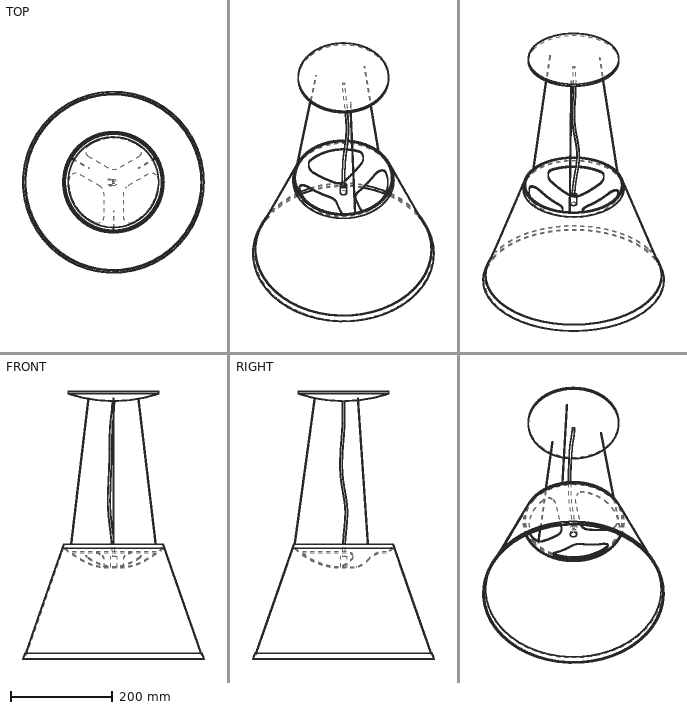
import cadquery as cq
import math

TOTAL_HEIGHT = 529.0
BASE_RADIUS = 358.27 / 2

SHADE_TOP_Z = 227.0
SHADE_TOP_RADIUS = 98.4
SHADE_FOOT_RADIUS = 173.3
SHADE_WALL = 1.2
FOOT_HEIGHT = 12.0
SHADE_SLOPE = (SHADE_FOOT_RADIUS - SHADE_TOP_RADIUS) / (SHADE_TOP_Z - FOOT_HEIGHT)
FOOT_LEDGE_RADIUS = BASE_RADIUS - SHADE_SLOPE * FOOT_HEIGHT

CANOPY_RADIUS = 89.5
CANOPY_EDGE = 5.0
CANOPY_DEPTH = 19.5

RIM_RADIUS = 95.0
RIM_HEIGHT = 8.0
RIM_BLEND = 15.0
BOWL_WALL = 2.0
FLOOR_RADIUS = 21.0
FLOOR_Z = 182.5

ARM_COUNT = 3
FIRST_ARM_ANGLE = 30.0
ARM_HALF_WIDTH = 19.5
OPENING_OUTER_RADIUS = 88.0
OPENING_INNER_FILLET = 20.0
OPENING_OUTER_FILLET = 13.0

GRIP_RADIUS = 6.3
GRIP_HEIGHT = 21.0

CABLE_RADIUS = 0.75
CABLE_TOP_RADIUS = 56.8
CABLE_RIM_RADIUS = 96.4
CABLE_TOP_Z = 516.0
CABLE_SINK = 4.0

CORD_RADIUS = 2.5
CORD_SINK = 4.0
CORD_BENDS = [
    (-4.5, 3.5, 257.0),
    (-8.3, 5.5, 294.0),
    (-7.5, -3.0, 355.0),
    (-6.0, -4.5, 395.0),
    (-4.0, 0.0, 465.0),
]


def shade_inner_radius(z):
    return SHADE_TOP_RADIUS - SHADE_WALL + SHADE_SLOPE * (SHADE_TOP_Z - z)


def make_shade():
    profile = [
        (shade_inner_radius(0), 0),
        (BASE_RADIUS, 0),
        (FOOT_LEDGE_RADIUS, FOOT_HEIGHT),
        (SHADE_FOOT_RADIUS, FOOT_HEIGHT),
        (SHADE_TOP_RADIUS, SHADE_TOP_Z),
        (shade_inner_radius(SHADE_TOP_Z), SHADE_TOP_Z),
    ]
    section = cq.Workplane("XZ").polyline(profile).close()
    return section.revolve(360, (0, 0, 0), (0, 1, 0))


def make_canopy():
    edge_z = TOTAL_HEIGHT - CANOPY_EDGE
    sag = CANOPY_DEPTH - CANOPY_EDGE
    dome_radius = (CANOPY_RADIUS**2 + sag**2) / (2 * sag)
    half_angle = math.asin(CANOPY_RADIUS / dome_radius) / 2
    bottom_z = TOTAL_HEIGHT - CANOPY_DEPTH
    arc_middle = (dome_radius * math.sin(half_angle), bottom_z + dome_radius * (1 - math.cos(half_angle)))
    section = (
        cq.Workplane("XZ")
        .moveTo(0, TOTAL_HEIGHT)
        .lineTo(CANOPY_RADIUS, TOTAL_HEIGHT)
        .lineTo(CANOPY_RADIUS, edge_z)
        .threePointArc(arc_middle, (0, bottom_z))
        .close()
    )
    return section.revolve(360, (0, 0, 0), (0, 1, 0))


def make_openings():
    """Rounded three-sided prisms that fill the gaps between the bowl's arms."""
    step = 360 / ARM_COUNT
    half_gap = math.radians(step / 2)
    apex = ARM_HALF_WIDTH / math.sin(half_gap)
    side_angle = half_gap - math.asin(ARM_HALF_WIDTH / OPENING_OUTER_RADIUS)
    corner_x = OPENING_OUTER_RADIUS * math.cos(side_angle)
    corner_y = OPENING_OUTER_RADIUS * math.sin(side_angle)
    opening = (
        cq.Workplane("XY")
        .moveTo(apex, 0)
        .lineTo(corner_x, -corner_y)
        .threePointArc((OPENING_OUTER_RADIUS, 0), (corner_x, corner_y))
        .close()
        .extrude(SHADE_TOP_Z)
    )
    opening = opening.edges("|Z and <X").fillet(OPENING_INNER_FILLET)
    opening = opening.edges("|Z and (<Y or >Y)").fillet(OPENING_OUTER_FILLET)
    first_angle = FIRST_ARM_ANGLE + step / 2
    return [opening.rotate((0, 0, 0), (0, 0, 1), first_angle + i * step) for i in range(ARM_COUNT)]


def make_bowl():
    rim_bottom_z = SHADE_TOP_Z - RIM_HEIGHT
    rise = rim_bottom_z - FLOOR_Z
    center_z = (RIM_RADIUS**2 - FLOOR_RADIUS**2 + rim_bottom_z**2 - FLOOR_Z**2) / (2 * rise)
    inner_radius = math.hypot(RIM_RADIUS, center_z - rim_bottom_z)
    outer_radius = inner_radius + BOWL_WALL

    def sphere_point(radius, r):
        return (r, center_z - math.sqrt(radius**2 - r**2))

    middle_r = (FLOOR_RADIUS + RIM_RADIUS) / 2
    rim_outer_r = math.sqrt(outer_radius**2 - (center_z - rim_bottom_z) ** 2)
    floor_bottom_z = sphere_point(outer_radius, FLOOR_RADIUS)[1]
    section = (
        cq.Workplane("XZ")
        .moveTo(0, FLOOR_Z)
        .lineTo(FLOOR_RADIUS, FLOOR_Z)
        .threePointArc(sphere_point(inner_radius, middle_r), (RIM_RADIUS, rim_bottom_z))
        .lineTo(RIM_RADIUS, SHADE_TOP_Z)
        .lineTo(shade_inner_radius(SHADE_TOP_Z), SHADE_TOP_Z)
        .lineTo(shade_inner_radius(rim_bottom_z), rim_bottom_z)
        .lineTo(rim_outer_r, rim_bottom_z)
        .threePointArc(sphere_point(outer_radius, middle_r), (FLOOR_RADIUS, floor_bottom_z))
        .lineTo(0, floor_bottom_z)
        .close()
    )
    bowl = section.revolve(360, (0, 0, 0), (0, 1, 0))
    rim_foot_band = cq.selectors.BoxSelector(
        (-BASE_RADIUS, -BASE_RADIUS, rim_bottom_z - BOWL_WALL / 2),
        (BASE_RADIUS, BASE_RADIUS, rim_bottom_z + BOWL_WALL / 2),
        boundingbox=True,
    )
    rim_foot = bowl.edges(rim_foot_band).edges(cq.selectors.RadiusNthSelector(0))
    bowl = bowl.newObject(rim_foot.vals()).fillet(RIM_BLEND)
    for opening in make_openings():
        bowl = bowl.cut(opening)
    return bowl


def make_grip():
    return cq.Workplane("XY").workplane(offset=FLOOR_Z).circle(GRIP_RADIUS).extrude(GRIP_HEIGHT)


def make_cable(angle):
    slope = (CABLE_RIM_RADIUS - CABLE_TOP_RADIUS) / (CABLE_TOP_Z - SHADE_TOP_Z)
    top = cq.Vector(CABLE_TOP_RADIUS, 0, CABLE_TOP_Z)
    bottom = cq.Vector(CABLE_RIM_RADIUS + slope * CABLE_SINK, 0, SHADE_TOP_Z - CABLE_SINK)
    run = bottom - top
    cable = cq.Solid.makeCylinder(CABLE_RADIUS, run.Length, top, run)
    return cq.Workplane(cable).rotate((0, 0, 0), (0, 0, 1), angle)


def make_cord():
    start = (0, 0, FLOOR_Z + GRIP_HEIGHT - CORD_SINK)
    end = (0, 0, TOTAL_HEIGHT - CANOPY_DEPTH + CORD_SINK)
    path = cq.Workplane("XY").spline([start, *CORD_BENDS, end], tangents=[(0, 0, 1), (0, 0, 1)])
    return cq.Workplane("XY", origin=start).circle(CORD_RADIUS).sweep(path)


def make_suspension():
    suspension = make_bowl().union(make_grip()).union(make_cord()).union(make_canopy())
    for i in range(ARM_COUNT):
        suspension = suspension.union(make_cable(FIRST_ARM_ANGLE + i * 360 / ARM_COUNT))
    return suspension


shade = make_shade()
suspension = make_suspension()

result = cq.Compound.makeCompound([shade.val(), *suspension.solids().vals()])